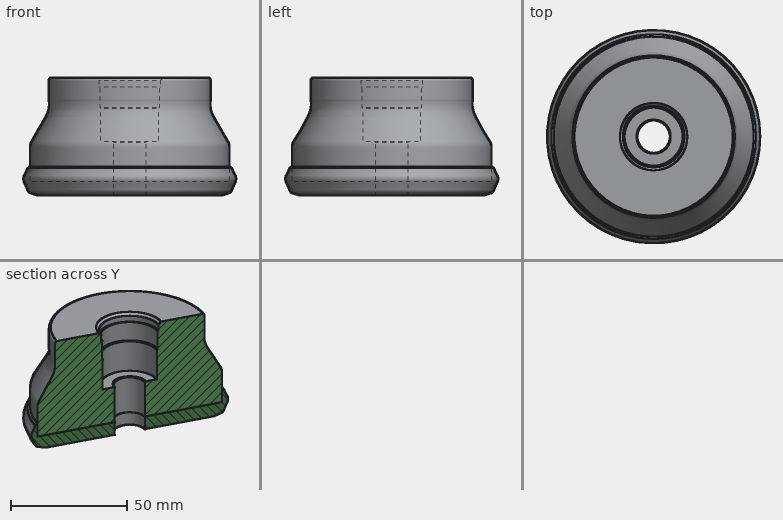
import cadquery as cq
import math

TOTAL_HEIGHT = 50.8
SEAT_Z = 6.1
SKIRT_RADIUS = 43.0
SKIRT_TOP_Z = 20.7
CONE_ANGLE = math.radians(30)
SHOULDER_ROUND = 4.95
CONE_TOP_Z = 33.7
NECK_ROUND = 11.5
NECK_TOP_Z = 40.6
HEAD_BOTTOM_Z = 41.2
HEAD_RADIUS = 34.95
HEAD_EDGE_ROUND = 1.8
HEAD_EDGE_HEIGHT = 1.65
TOP_FACE_RADIUS = 34.0

BORE_CHAMFER = 1.3
MOUTH_RADIUS = 13.2
MOUTH_DEPTH = 4.1
UPPER_BORE_RADIUS = 12.75
UPPER_BORE_DEPTH = 12.9
LOWER_BORE_RADIUS = 12.5
BORE_STEP_HEIGHT = 0.4
BORE_DEPTH = 27.5
HOLE_RADIUS = 7.0
HOLE_CHAMFER = 0.4

BASE_TOP_Z = 12.7
RIM_RADIUS = 45.9
RIM_Z = 7.3
RIM_UPPER_RADIUS = 45.6
RIM_UPPER_Z = 8.5
RIM_LOWER_RADIUS = 45.6
RIM_LOWER_Z = 6.1
FLARE_BOTTOM_RADIUS = 45.4
FLARE_BOTTOM_Z = 8.8
FLARE_TOP_RADIUS = 44.0
FLARE_TOP_Z = 11.8
FLARE_SAG = 0.1
UNDERCUT_RADIUS = 44.2
UNDERCUT_Z = 3.0
FOOT_ROUND = 2.75
FOOT_RADIUS = 42.3
FOOT_Z = 0.9
BOTTOM_FACE_RADIUS = 39.2


def revolve_about_z(profile):
    """Turn a closed profile, drawn as (radius, height), about the Z axis."""
    return profile.close().revolve(360, (0, 0), (0, 1))


def make_bore():
    floor_z = TOTAL_HEIGHT - BORE_DEPTH
    mouth_floor_z = TOTAL_HEIGHT - MOUTH_DEPTH
    step_z = TOTAL_HEIGHT - UPPER_BORE_DEPTH
    profile = (
        cq.Workplane("XZ")
        .moveTo(0, TOTAL_HEIGHT)
        .lineTo(MOUTH_RADIUS + BORE_CHAMFER, TOTAL_HEIGHT)
        .lineTo(MOUTH_RADIUS, TOTAL_HEIGHT - BORE_CHAMFER)
        .lineTo(MOUTH_RADIUS, mouth_floor_z)
        .lineTo(UPPER_BORE_RADIUS, mouth_floor_z)
        .lineTo(UPPER_BORE_RADIUS, step_z)
        .lineTo(LOWER_BORE_RADIUS, step_z - BORE_STEP_HEIGHT)
        .lineTo(LOWER_BORE_RADIUS, floor_z)
        .lineTo(HOLE_RADIUS + HOLE_CHAMFER, floor_z)
        .lineTo(HOLE_RADIUS, floor_z - HOLE_CHAMFER)
        .lineTo(HOLE_RADIUS, SEAT_Z)
        .lineTo(0, SEAT_Z)
    )
    return revolve_about_z(profile)


def make_housing():
    sin_cone = math.sin(CONE_ANGLE)
    round_inset = 1 - math.cos(CONE_ANGLE)

    cone_bottom_radius = SKIRT_RADIUS - SHOULDER_ROUND * round_inset
    cone_bottom_z = SKIRT_TOP_Z + SHOULDER_ROUND * sin_cone
    cone_top_radius = cone_bottom_radius - (CONE_TOP_Z - cone_bottom_z) * math.tan(CONE_ANGLE)

    neck_radius = cone_top_radius - NECK_ROUND * round_inset
    neck_z = CONE_TOP_Z + NECK_ROUND * sin_cone
    neck_rise = NECK_TOP_Z - neck_z
    neck_top_radius = neck_radius + NECK_ROUND - math.sqrt(NECK_ROUND**2 - neck_rise**2)

    profile = (
        cq.Workplane("XZ")
        .moveTo(0, SEAT_Z)
        .lineTo(SKIRT_RADIUS, SEAT_Z)
        .lineTo(SKIRT_RADIUS, SKIRT_TOP_Z)
        .radiusArc((cone_bottom_radius, cone_bottom_z), -SHOULDER_ROUND)
        .lineTo(cone_top_radius, CONE_TOP_Z)
        .threePointArc((neck_radius, neck_z), (neck_top_radius, NECK_TOP_Z))
        .lineTo(HEAD_RADIUS, HEAD_BOTTOM_Z)
        .lineTo(HEAD_RADIUS, TOTAL_HEIGHT - HEAD_EDGE_HEIGHT)
        .radiusArc((TOP_FACE_RADIUS, TOTAL_HEIGHT), -HEAD_EDGE_ROUND)
        .lineTo(0, TOTAL_HEIGHT)
    )
    return revolve_about_z(profile).cut(make_bore())


def make_base():
    flare_middle = (
        (FLARE_TOP_RADIUS + FLARE_BOTTOM_RADIUS) / 2 - FLARE_SAG,
        (FLARE_TOP_Z + FLARE_BOTTOM_Z) / 2,
    )
    profile = (
        cq.Workplane("XZ")
        .moveTo(HOLE_RADIUS, 0)
        .lineTo(BOTTOM_FACE_RADIUS, 0)
        .lineTo(FOOT_RADIUS, FOOT_Z)
        .radiusArc((UNDERCUT_RADIUS, UNDERCUT_Z), -FOOT_ROUND)
        .lineTo(RIM_LOWER_RADIUS, RIM_LOWER_Z)
        .threePointArc((RIM_RADIUS, RIM_Z), (RIM_UPPER_RADIUS, RIM_UPPER_Z))
        .lineTo(FLARE_BOTTOM_RADIUS, FLARE_BOTTOM_Z)
        .threePointArc(flare_middle, (FLARE_TOP_RADIUS, FLARE_TOP_Z))
        .lineTo(SKIRT_RADIUS, BASE_TOP_Z)
        .lineTo(SKIRT_RADIUS, SEAT_Z)
        .lineTo(HOLE_RADIUS, SEAT_Z)
    )
    return revolve_about_z(profile)


housing = make_housing()
base = make_base()

result = cq.Compound.makeCompound([housing.val(), base.val()])